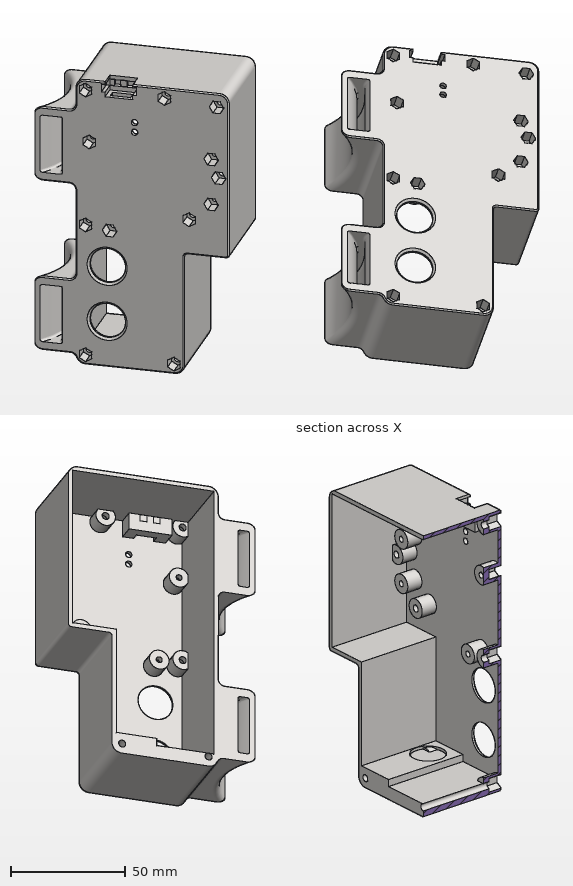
import cadquery as cq
import math

WIDTH = 88.0
DEPTH = 44.0
HEIGHT = 135.0

BODY_LEFT = 18.5
LOWER_RIGHT = 67.8
SHOULDER_Z = 57.4
LARGE_CORNER = 4.5
SMALL_CORNER = 1.5
FRONT_CHAMFER = 0.61
WALL = 2.0

EAR_HEIGHT = 35.0
EAR_BOTTOMS = (4.7, 85.0)
EAR_FILLET = 3.0
TUBE_RADIUS = 34.0
TUBE_Y = 23.1
TIP_TRIM = FRONT_CHAMFER * TUBE_Y / TUBE_RADIUS
TUBE_X = -TIP_TRIM - math.sqrt(TUBE_RADIUS**2 - TUBE_Y**2)

CHANNEL_WALL = 2.2
CHANNEL_GAP = 4.3
CHANNEL_BOTTOM = 3.9
CHANNEL_HEIGHT = 27.1
CHANNEL_FILLET = 1.0
MOUTH_RIGHT = 12.5
FLARE_X = 12.0
FLARE_Y = 1.2
NOSE_X = 11.3
NOSE_Y = 4.3
NOSE_END_Y = 7.5

FLOOR_Z = 6.2
LEDGE_Z = 9.6
LEDGE_X = 47.0
RECESS_DIAMETER = 16.0
RECESS_DEPTH = 1.4
RECESS_X = 57.4
RECESS_Y = 13.2

OPENING_DIAMETER = 16.0
OPENING_CHAMFER = 1.01
OPENING_X = 32.8
OPENING_ZS = (21.6, 47.7)

BOSS_DIAMETER = 9.0
BOSS_LENGTH = 10.0
NUT_DIAMETER = 6.5
NUT_DEPTH = 6.8
SCREW = 3.2
SMALL_SCREW = 2.7
UPRIGHT = 90
SIDEWAYS = 0
SCREW_LEFT = BODY_LEFT + BOSS_DIAMETER / 2
SCREW_TOP = HEIGHT - 4.9
SCREW_BOTTOM = 4.6
SCREWS = (
    (SCREW_LEFT, SCREW_TOP, SCREW, UPRIGHT),
    (58.7, SCREW_TOP, SCREW, UPRIGHT),
    (82.4, 128.5, SCREW, SIDEWAYS),
    (24.7, 105.7, SMALL_SCREW, UPRIGHT),
    (79.9, 103.5, SMALL_SCREW, SIDEWAYS),
    (83.3, 95.0, SCREW, SIDEWAYS),
    (79.9, 82.2, SMALL_SCREW, SIDEWAYS),
    (69.9, 73.8, SCREW, UPRIGHT),
    (SCREW_LEFT, 66.2, SCREW, UPRIGHT),
    (33.9, 64.7, SMALL_SCREW, SIDEWAYS),
    (SCREW_LEFT, SCREW_BOTTOM, SCREW, UPRIGHT),
    (63.0, SCREW_BOTTOM, SCREW, UPRIGHT),
)

LIGHT_DIAMETER = 2.8
LIGHT_X = 45.2
LIGHT_ZS = (112.6, 117.2)

SEAT_LEFT = 31.9
SEAT_RIGHT = 44.4
SEAT_DEPTH = 8.0
SEAT_FLOOR = 128.0
GROOVE_REACH = 1.6
GROOVE_BOTTOM = 130.1
GROOVE_TOP = 133.6
SEAT_WALL = 2.7
SLOT_LEFT = 33.8
SLOT_RIGHT = 42.9
SLOT_FRONT = 2.0
SLOT_BACK = 5.7
WINDOW_TOP = 133.1
WINDOW_RECESS = 0.4
PIN_DEPTH = 1.9
PIN_WINDOWS = ((SLOT_LEFT, 36.6), (39.5, SLOT_RIGHT))


def block(x0, x1, y0, y1, z0, z1):
    """Box given by its limits along each axis."""
    return cq.Workplane("XY").box(x1 - x0, y1 - y0, z1 - z0, centered=False).translate((x0, y0, z0))


def rod(x, z, diameter, length, start=0.0):
    """Cylinder along +Y that begins at Y = start."""
    return cq.Workplane("XZ", origin=(x, start, z)).circle(diameter / 2).extrude(-length)


def tube(radius):
    """Upright cylinder on the axis of the cradled tube."""
    return cq.Workplane("XY", origin=(TUBE_X, TUBE_Y, 0)).circle(radius).extrude(HEIGHT)


def corners(solid, points, radius):
    """Round the edges along Y that pass through the given (X, Z) points."""
    reach = 0.1
    for x, z in points:
        near = cq.selectors.BoxSelector((x - reach, 0, z - reach), (x + reach, DEPTH, z + reach))
        solid = solid.edges("|Y").edges(near).fillet(radius)
    return solid


def make_body():
    """L-shaped block with its corners rounded."""
    body = block(BODY_LEFT, LOWER_RIGHT, 0, DEPTH, 0, HEIGHT)
    body = body.union(block(BODY_LEFT, WIDTH, 0, DEPTH, SHOULDER_Z, HEIGHT))
    large = ((BODY_LEFT, 0), (LOWER_RIGHT, 0), (BODY_LEFT, HEIGHT), (WIDTH, HEIGHT))
    small = ((LOWER_RIGHT, SHOULDER_Z), (WIDTH, SHOULDER_Z))
    return corners(corners(body, large, LARGE_CORNER), small, SMALL_CORNER)


def make_ear(bottom):
    """Ear with a concave face whose upper and lower edges are rounded."""
    ear = block(-TIP_TRIM, BODY_LEFT + WALL, 0, DEPTH, bottom, bottom + EAR_HEIGHT)
    ear = ear.cut(tube(TUBE_RADIUS))
    return ear.edges("%CIRCLE").fillet(EAR_FILLET)


def make_shell():
    """Outer form: the body and its ears, blended and chamfered around the front face."""
    shell = make_body()
    for bottom in EAR_BOTTOMS:
        shell = shell.union(make_ear(bottom))
    roots = [(BODY_LEFT, z) for b in EAR_BOTTOMS for z in (b, b + EAR_HEIGHT)]
    shell = corners(shell, roots, EAR_FILLET)
    return shell.faces("<Y").edges().chamfer(FRONT_CHAMFER)


def make_cavity():
    """Hollow of the housing, open at the back, with a stepped floor."""
    left = BODY_LEFT + WALL
    right = LOWER_RIGHT - WALL
    top = HEIGHT - WALL
    cavity = block(left, LEDGE_X, WALL, DEPTH, FLOOR_Z, top)
    cavity = cavity.union(block(left, right, WALL, DEPTH, LEDGE_Z, top))
    cavity = cavity.union(block(left, WIDTH - WALL, WALL, DEPTH, SHOULDER_Z + WALL, top))
    recess = cq.Workplane("XY", origin=(RECESS_X, RECESS_Y, LEDGE_Z)).circle(RECESS_DIAMETER / 2)
    return cavity.union(recess.extrude(-RECESS_DEPTH))


def make_channel(bottom):
    """Strap channel: two walls concentric with the tube, opening over a rounded nose at the front."""
    inner_radius = TUBE_RADIUS + CHANNEL_WALL
    outer_radius = inner_radius + CHANNEL_GAP

    def wall_point(radius, y):
        return (TUBE_X + math.sqrt(radius**2 - (y - TUBE_Y) ** 2), y)

    channel = (
        cq.Workplane("XY", origin=(0, 0, bottom + CHANNEL_BOTTOM))
        .moveTo(*wall_point(inner_radius, 0))
        .lineTo(MOUTH_RIGHT, 0)
        .lineTo(FLARE_X, FLARE_Y)
        .threePointArc((NOSE_X, NOSE_Y), wall_point(outer_radius, NOSE_END_Y))
        .threePointArc(wall_point(outer_radius, TUBE_Y), wall_point(outer_radius, DEPTH))
        .lineTo(*wall_point(inner_radius, DEPTH))
        .threePointArc(wall_point(inner_radius, TUBE_Y), wall_point(inner_radius, 0))
        .close()
        .extrude(CHANNEL_HEIGHT)
    )
    walls = cq.selectors.BoxSelector((0, 0.1, 0), (WIDTH, DEPTH - 0.1, HEIGHT))
    return channel.faces("|Z").edges(walls).fillet(CHANNEL_FILLET)


def make_bosses():
    """Posts behind the front wall, one for each screw."""
    bosses = cq.Workplane("XY")
    for x, z, _, _ in SCREWS:
        bosses = bosses.union(rod(x, z, BOSS_DIAMETER, BOSS_LENGTH - WALL, WALL))
    return bosses


def cut_screws(part):
    """Screw holes, each with a nut pocket in the front face."""
    for x, z, diameter, angle in SCREWS:
        nut = cq.Workplane("XZ").polygon(6, NUT_DIAMETER).extrude(-NUT_DEPTH)
        nut = nut.rotate((0, 0, 0), (0, 1, 0), angle).translate((x, 0, z))
        part = part.cut(nut).cut(rod(x, z, diameter, DEPTH))
    return part


def cut_openings(part):
    """Large openings with a bevelled front rim, and the small plain holes."""
    mouth = OPENING_DIAMETER / 2 + OPENING_CHAMFER
    for z in OPENING_ZS:
        part = part.cut(rod(OPENING_X, z, OPENING_DIAMETER, WALL))
        funnel = cq.Solid.makeCone(
            mouth, mouth - OPENING_CHAMFER, OPENING_CHAMFER, cq.Vector(OPENING_X, 0, z), cq.Vector(0, 1, 0)
        )
        part = part.cut(cq.Workplane(funnel))
    for z in LIGHT_ZS:
        part = part.cut(rod(LIGHT_X, z, LIGHT_DIAMETER, WALL))
    return part


def make_seat_housing():
    """Block inside the cavity that carries the connector seat."""
    side = GROOVE_REACH + WALL
    back = SEAT_DEPTH + SEAT_WALL
    base = SEAT_FLOOR - SEAT_WALL
    return block(SEAT_LEFT - side, SEAT_RIGHT + side, WALL, back, base, HEIGHT - WALL)


def cut_seat(part):
    """Notch with side grooves, a slot in its floor and pin windows in its back wall."""
    back = SEAT_DEPTH + WINDOW_RECESS
    part = part.cut(block(SEAT_LEFT, SEAT_RIGHT, 0, SEAT_DEPTH, SEAT_FLOOR, HEIGHT))
    part = part.cut(
        block(SEAT_LEFT - GROOVE_REACH, SEAT_RIGHT + GROOVE_REACH, 0, SEAT_DEPTH, GROOVE_BOTTOM, GROOVE_TOP)
    )
    part = part.cut(block(SLOT_LEFT, SLOT_RIGHT, SLOT_FRONT, SLOT_BACK, SEAT_FLOOR - SEAT_WALL, SEAT_FLOOR))
    part = part.cut(block(SEAT_LEFT, SEAT_RIGHT, SEAT_DEPTH, back, GROOVE_BOTTOM, WINDOW_TOP))
    for left, right in PIN_WINDOWS:
        part = part.cut(block(left, right, back, back + PIN_DEPTH, GROOVE_BOTTOM, WINDOW_TOP))
    return part


shell = make_shell()
inside = make_bosses().union(make_seat_housing()).intersect(shell)
result = shell.cut(make_cavity()).union(inside)
for ear_bottom in EAR_BOTTOMS:
    result = result.cut(make_channel(ear_bottom))
result = cut_seat(cut_openings(cut_screws(result)))